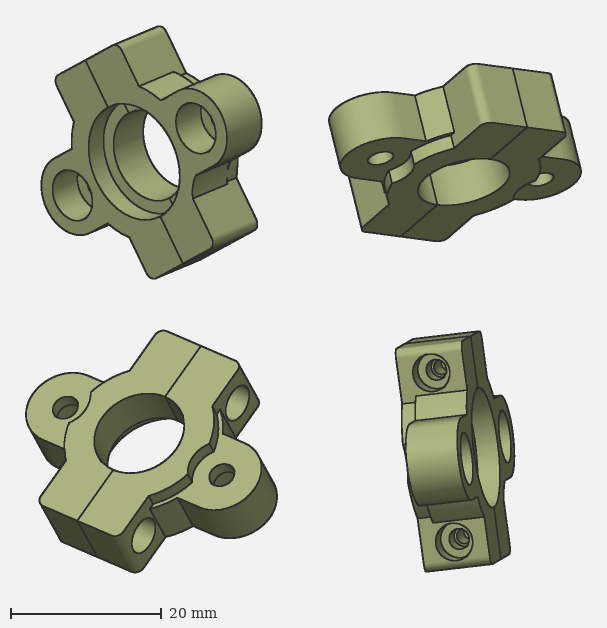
import cadquery as cq
import math

TILT = 35.0
HALF_LENGTH = 16.35

THICKNESS = 9.0
BACK_STEP = 2.0
FRONT_Y = -THICKNESS / 2
BACK_Y = THICKNESS / 2
STEP_Y = BACK_Y - BACK_STEP

RING_RADIUS = 11.0
BACK_RING_RADIUS = 10.4
BORE_RADIUS = 6.25
SEAT_RADIUS = 8.0
SEAT_DEPTH = 3.0

EAR_RADIUS = 5.5
EAR_OFFSET = (HALF_LENGTH - EAR_RADIUS) / math.cos(math.radians(TILT))
EAR_HOLE_DIAMETER = 3.5
EAR_COUNTERBORE_DIAMETER = 7.0
EAR_COUNTERBORE_DEPTH = 5.0
EAR_CLEARANCE_RADIUS = 4.12

ARM_HALF_WIDTH = 7.0
ARM_REACH = 14.97
ARM_CORNER_RADIUS = 1.2

NOTCH_RADIUS = 5.6
NOTCH_X = 12.03
NOTCH_Z = -10.42

SCREW_OFFSET = 11.35
SCREW_HEAD_DIAMETER = 5.0
SCREW_HEAD_DEPTH = 3.5
SCREW_CLEARANCE_DIAMETER = 2.7
SCREW_THREAD_DIAMETER = 2.03
SCREW_THREAD_DEPTH = 5.0

SIDES = (-1, 1)


def section(y):
    """Workplane across the bore axis at height y, with local axes X and Z; extrude(-d) goes to +Y."""
    return cq.Workplane("XZ", origin=(0, y, 0))


def disc(x, z, radius, y_start, y_end):
    """Cylinder parallel to Y."""
    return section(y_start).center(x, z).circle(radius).extrude(y_start - y_end)


def screw_bore(z, diameter, x_start, x_end):
    """Cylinder parallel to X at mid thickness."""
    plane = cq.Workplane("YZ", origin=(x_start, 0, z))
    return plane.circle(diameter / 2).extrude(x_end - x_start)


def make_ring():
    """Stepped ring, narrower at the back, scalloped around the ear holes and notched at one place."""
    back = disc(0, 0, BACK_RING_RADIUS, STEP_Y, BACK_Y)
    for side in SIDES:
        back = back.cut(disc(side * EAR_OFFSET, 0, EAR_CLEARANCE_RADIUS, STEP_Y, BACK_Y))
    ring = disc(0, 0, RING_RADIUS, FRONT_Y, STEP_Y).union(back)
    return ring.cut(disc(NOTCH_X, NOTCH_Z, NOTCH_RADIUS, FRONT_Y, BACK_Y))


def make_ears():
    """Long plate with a round ear at each end."""
    length = 2 * (EAR_OFFSET + EAR_RADIUS)
    return section(FRONT_Y).slot2D(length, 2 * EAR_RADIUS).extrude(FRONT_Y - STEP_Y)


def make_arms():
    """Full-thickness block that forms both clamp arms."""
    block = cq.Workplane("XY").box(2 * ARM_HALF_WIDTH, THICKNESS, 2 * ARM_REACH)
    return block.edges("|Y").fillet(ARM_CORNER_RADIUS)


def make_clamp():
    """Whole clamp outline with its bore and ear holes, before it is split."""
    clamp = make_ring().union(make_ears()).union(make_arms())
    clamp = clamp.cut(disc(0, 0, BORE_RADIUS, FRONT_Y, BACK_Y))
    clamp = clamp.cut(disc(0, 0, SEAT_RADIUS, FRONT_Y, FRONT_Y + SEAT_DEPTH))
    for side in SIDES:
        x = side * EAR_OFFSET
        clamp = clamp.cut(disc(x, 0, EAR_HOLE_DIAMETER / 2, FRONT_Y, BACK_Y))
        counterbore_end = FRONT_Y + EAR_COUNTERBORE_DEPTH
        clamp = clamp.cut(disc(x, 0, EAR_COUNTERBORE_DIAMETER / 2, FRONT_Y, counterbore_end))
    return clamp


def half_of(clamp, side):
    """Part of the clamp on one side of the split plane X = 0."""
    reach = EAR_OFFSET + EAR_RADIUS
    keep = cq.Workplane("XY").box(reach, THICKNESS, 2 * ARM_REACH)
    return clamp.intersect(keep.translate((side * reach / 2, 0, 0)))


def turn(body):
    """Turn the single solid of a body from the building position to its final tilt."""
    return body.solids().rotate((0, 0, 0), (0, 1, 0), -TILT)


def make_head_half(clamp):
    """Half at -X, with clearance holes and counterbores for the screw heads."""
    half = half_of(clamp, -1)
    head_floor = SCREW_HEAD_DEPTH - ARM_HALF_WIDTH
    for side in SIDES:
        z = side * SCREW_OFFSET
        half = half.cut(screw_bore(z, SCREW_HEAD_DIAMETER, -ARM_HALF_WIDTH, head_floor))
        half = half.cut(screw_bore(z, SCREW_CLEARANCE_DIAMETER, head_floor, 0))
    return turn(half)


def make_threaded_half(clamp):
    """Half at +X, with blind thread holes for the screws."""
    half = half_of(clamp, 1)
    for side in SIDES:
        half = half.cut(screw_bore(side * SCREW_OFFSET, SCREW_THREAD_DIAMETER, 0, SCREW_THREAD_DEPTH))
    return turn(half)


full_clamp = make_clamp()
head_half = make_head_half(full_clamp)
threaded_half = make_threaded_half(full_clamp)

result = cq.Compound.makeCompound([head_half.val(), threaded_half.val()])